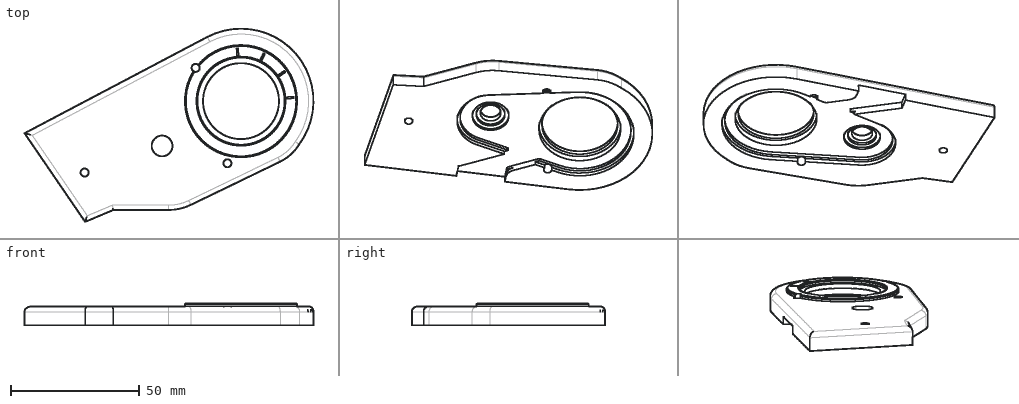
import cadquery as cq
import math


plate_height = 7.5
head_radius = 28.3
edge_fillet = 2.0
tail_corner = (-84.6, -12.5)
foot_corner = (-60.9, -47.2)
notch_corner = (-49.9, -42.6)
bottom_bend_x = -28.3
bottom_bend_radius = 20.0
bottom_bend_turn = 26.0
side_end = (15.2, -23.7)
shoulder_angle = -36.4

ring_height = 1.2
ring_top = plate_height + ring_height
ring_outer_diameter = 43.9
ring_inner_diameter = 34.0
ring_chamfer = 0.5

mark_angles = (4, 34, 64, 94)
mark_length = 2.7
mark_width = 0.7
mark_depth = 0.2
mark_radius = 19.3

bore_diameter = 29.6
bore_seat_diameter = 32.0
bore_seat_z = 5.6
pivot_hole_diameter = 8.0
pivot_hole_centre = (-30.8, -17.5)
pivot_steps = [(11.2, 5.0), (14.2, 4.0)]
screw_hole_diameter = 3.0
screw_hole_centres = [(-17.7, 13.0), (-5.3, -24.3), (-61.1, -27.9)]

pocket_depth = 3.0
pocket_bore_radius = 20.0
pocket_pivot_radius = 12.0
rebate_depth = 1.7
rebate_ledge = 1.1

passage_width = 8.9
passage_top_y = 8.9
mouth_depth = 5.0
passage_corner_radius = 1.6
lower_corner_radius = 4.1


def on_circle(radius, angle, centre=(0, 0)):
    """Point on a circle at an angle in degrees."""
    turn = math.radians(angle)
    return (centre[0] + radius * math.cos(turn), centre[1] + radius * math.sin(turn))


tail_direction = math.degrees(math.atan2(tail_corner[1], tail_corner[0])) % 360
tail_distance = math.hypot(*tail_corner)
upper_tangent_angle = tail_direction - math.degrees(math.acos(head_radius / tail_distance))


def make_plate():
    bend_end_angle = bottom_bend_turn - 90
    bend_centre = (bottom_bend_x, notch_corner[1] + bottom_bend_radius)
    head_mid_angle = (shoulder_angle + upper_tangent_angle) / 2
    outline = (
        cq.Workplane("XY")
        .moveTo(*tail_corner)
        .lineTo(*foot_corner)
        .lineTo(*notch_corner)
        .lineTo(bottom_bend_x, notch_corner[1])
        .threePointArc(
            on_circle(bottom_bend_radius, (bend_end_angle - 90) / 2, bend_centre),
            on_circle(bottom_bend_radius, bend_end_angle, bend_centre),
        )
        .lineTo(*side_end)
        .tangentArcPoint(on_circle(head_radius, shoulder_angle), relative=False)
        .threePointArc(
            on_circle(head_radius, head_mid_angle),
            on_circle(head_radius, upper_tangent_angle),
        )
        .close()
    )
    return outline.extrude(plate_height).faces(">Z").edges().fillet(edge_fillet)


def make_ring():
    blank = cq.Workplane("XY").circle(ring_outer_diameter / 2).extrude(ring_top)
    opening = cq.Workplane("XY", origin=(0, 0, plate_height)).circle(ring_inner_diameter / 2)
    ring = blank.cut(opening.extrude(ring_height))
    return ring.faces(">Z").edges().chamfer(ring_chamfer)


def make_marks():
    marks = cq.Workplane("XY")
    for angle in mark_angles:
        mark = (
            cq.Workplane("XY", origin=(mark_radius, 0, ring_top - mark_depth))
            .rect(mark_length, mark_width)
            .extrude(mark_depth)
        )
        marks = marks.add(mark.rotate((0, 0, 0), (0, 0, 1), angle))
    return marks.combine()


def make_cylinder(diameter, height, centre=(0, 0)):
    return cq.Workplane("XY").center(*centre).circle(diameter / 2).extrude(height)


def make_holes():
    holes = make_cylinder(bore_diameter, ring_top)
    holes = holes.union(make_cylinder(bore_seat_diameter, bore_seat_z))
    holes = holes.union(make_cylinder(pivot_hole_diameter, ring_top, pivot_hole_centre))
    for diameter, ceiling in pivot_steps:
        holes = holes.union(make_cylinder(diameter, ceiling, pivot_hole_centre))
    for centre in screw_hole_centres:
        holes = holes.union(make_cylinder(screw_hole_diameter, ring_top, centre))
    return holes


def make_pocket(depth, ledge):
    """Two circles joined by their outer tangents, all widened by the ledge."""
    bore_radius = pocket_bore_radius + ledge
    pivot_radius = pocket_pivot_radius + ledge
    distance = math.hypot(*pivot_hole_centre)
    toward_pivot = math.degrees(math.atan2(pivot_hole_centre[1], pivot_hole_centre[0]))
    spread = math.degrees(math.acos((bore_radius - pivot_radius) / distance))
    first_angle = toward_pivot + spread
    second_angle = toward_pivot - spread
    return (
        cq.Workplane("XY")
        .moveTo(*on_circle(bore_radius, first_angle))
        .threePointArc(
            on_circle(bore_radius, toward_pivot + 180),
            on_circle(bore_radius, second_angle),
        )
        .lineTo(*on_circle(pivot_radius, second_angle, pivot_hole_centre))
        .threePointArc(
            on_circle(pivot_radius, toward_pivot, pivot_hole_centre),
            on_circle(pivot_radius, first_angle, pivot_hole_centre),
        )
        .close()
        .extrude(depth)
    )


def wall_point(y, depth):
    """Point at a height y on the upper side wall, moved inward square to the wall."""
    normal = math.radians(upper_tangent_angle)
    x = (head_radius - y * math.sin(normal)) / math.cos(normal)
    return (x - depth * math.cos(normal), y - depth * math.sin(normal))


def make_passage(height, corner_radius):
    """Mouth square to the side wall that turns along X and ends in the pocket."""
    rise = mouth_depth * math.sin(math.radians(upper_tangent_angle))
    low_y = passage_top_y - passage_width
    far_mouth_y = passage_top_y + rise
    near_mouth_y = low_y + rise
    far_corner = wall_point(far_mouth_y, mouth_depth)
    passage = (
        cq.Workplane("XY")
        .moveTo(*wall_point(far_mouth_y, 0))
        .lineTo(*far_corner)
        .lineTo(0, passage_top_y)
        .lineTo(0, low_y)
        .lineTo(*wall_point(near_mouth_y, mouth_depth))
        .lineTo(*wall_point(near_mouth_y, 0))
        .close()
        .extrude(height)
    )
    corner_edge = cq.selectors.NearestToPointSelector((*far_corner, height / 2))
    return passage.edges("|Z").edges(corner_edge).fillet(corner_radius)


result = (
    make_plate()
    .union(make_ring())
    .cut(make_marks())
    .cut(make_holes())
    .cut(make_pocket(pocket_depth, 0))
    .cut(make_pocket(rebate_depth, rebate_ledge))
    .cut(make_passage(pocket_depth, passage_corner_radius))
    .cut(make_passage(rebate_depth, lower_corner_radius))
)